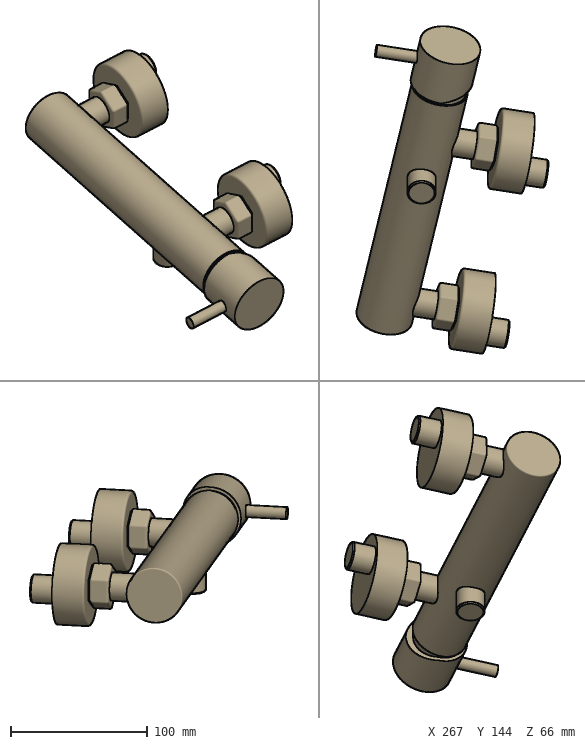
import cadquery as cq
import math


tube_diameter = 42.0
tube_start_x = 11.7
tube_end_x = 226.7
tube_end_rounding = 1.0
ball_radius = 19.8

handle_diameter = 45.0
handle_radius = handle_diameter / 2
handle_start_x = 230.0
handle_end_x = 267.0
handle_slant = 7.2
lever_diameter = 9.0
lever_x = 252.0
lever_z = -0.5
lever_tip_y = -52.5

flange_diameter = 60.0
flange_front_y = 50.2
flange_thickness = 24.0
flange_back_y = flange_front_y + flange_thickness
flange_rounding = 2.0
connection_count = 2
connection_spacing = 150.0
first_connection_x = flange_diameter / 2
pipe_diameter = 21.0
pipe_end_chamfer = 1.0
stub_offset = 16.0
stub_end_y = 91.5

nut_width = 30.2
nut_front_y = 35.0
nut_collar_length = 0.8
nut_back_y = flange_front_y - nut_collar_length
nut_rounding = 2.0

outlet_x = 156.2
outlet_bottom_z = -36.0


def rod_along_y(diameter, x, z, y_from, y_to):
    """Round rod parallel to Y."""
    plane = cq.Plane(origin=(x, y_from, z), xDir=(1, 0, 0), normal=(0, 1, 0))
    return cq.Workplane(plane).circle(diameter / 2).extrude(y_to - y_from)


def hexagon_along_y(width, x, y_from, y_to):
    """Hexagonal prism parallel to Y, with two flats facing -X and +X."""
    plane = cq.Plane(origin=(x, y_from, 0), xDir=(0, 0, 1), normal=(0, 1, 0))
    corner_diameter = width / math.cos(math.pi / 6)
    return cq.Workplane(plane).polygon(6, corner_diameter).extrude(y_to - y_from)


def make_nut(x):
    """Nut rounded on every edge, with a thin narrower collar against the flange."""
    nut = hexagon_along_y(nut_width, x, nut_front_y, nut_back_y).edges().fillet(nut_rounding)
    collar_width = nut_width - 2 * nut_rounding
    middle_y = (nut_front_y + nut_back_y) / 2
    collar = hexagon_along_y(collar_width, x, middle_y, flange_front_y)
    return nut.union(collar)


def make_connection(x):
    """Pipe from the tube, nut, wall flange and eccentric stub into the wall."""
    pipe = rod_along_y(pipe_diameter, x, 0, 0, flange_front_y)
    flange = rod_along_y(flange_diameter, x, 0, flange_front_y, flange_back_y)
    flange = flange.faces("<Y").edges().fillet(flange_rounding)
    stub = rod_along_y(pipe_diameter, x - stub_offset, 0, flange_back_y, stub_end_y)
    stub = stub.faces(">Y").edges().chamfer(pipe_end_chamfer)
    return pipe.union(make_nut(x)).union(flange).union(stub)


def make_ball():
    """Ball on the tube end that carries the handle."""
    return cq.Workplane("XY").sphere(ball_radius).translate((tube_end_x, 0, 0))


def make_mixer():
    """Tube with its ball end, outlet and both wall connections."""
    tube_plane = cq.Workplane("YZ", origin=(tube_start_x, 0, 0))
    tube = tube_plane.circle(tube_diameter / 2).extrude(tube_end_x - tube_start_x)
    tube = tube.faces("<X").edges().fillet(tube_end_rounding)
    outlet_plane = cq.Workplane("XY", origin=(outlet_x, 0, outlet_bottom_z))
    outlet = outlet_plane.circle(pipe_diameter / 2).extrude(-outlet_bottom_z)
    outlet = outlet.faces("<Z").edges().chamfer(pipe_end_chamfer)
    mixer = tube.union(make_ball()).union(outlet)
    for index in range(connection_count):
        mixer = mixer.union(make_connection(first_connection_x + index * connection_spacing))
    return mixer


def make_handle():
    """Cap over the ball, slanted on its wall side, with a lever pointing to -Y."""
    profile = [
        (handle_start_x, -handle_radius),
        (handle_end_x, -handle_radius),
        (handle_end_x, handle_radius),
        (handle_start_x + handle_slant, handle_radius),
        (handle_start_x, 0),
    ]
    side_shape = cq.Workplane("XY").polyline(profile).close().extrude(handle_radius, both=True)
    cap_plane = cq.Workplane("YZ", origin=(handle_start_x, 0, 0))
    cap = cap_plane.circle(handle_radius).extrude(handle_end_x - handle_start_x)
    lever = rod_along_y(lever_diameter, lever_x, lever_z, lever_tip_y, 0)
    return cap.intersect(side_shape).union(lever).cut(make_ball())


mixer = make_mixer()
handle = make_handle()
result = cq.Compound.makeCompound([mixer.val(), handle.val()])